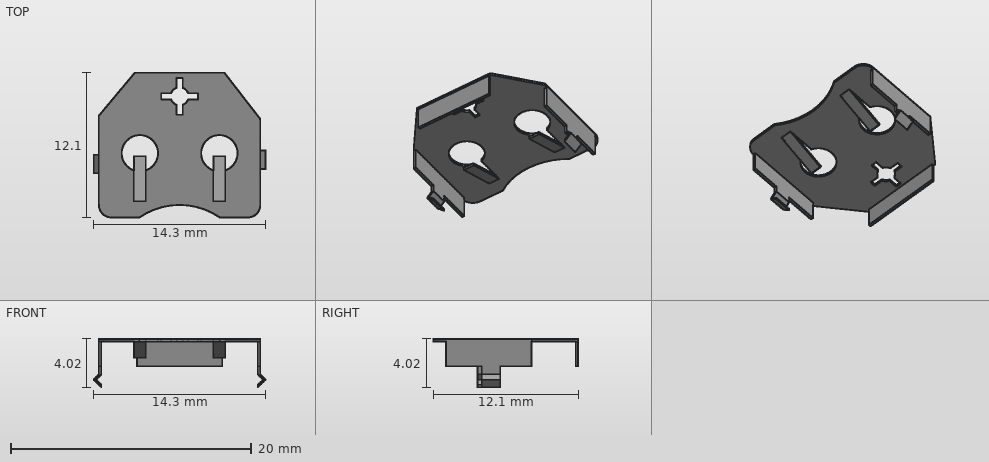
import cadquery as cq
import math

sheet = 0.23
half_width = 6.73
depth = 12.07
rear_half_width = 3.72
left_bevel_end = 3.6
right_bevel_end = 3.88
corner_radius = 1.07
scoop_half_width = 3.35
scoop_height = 1.05

cross_y = -1.98
cross_length = 3.04
cross_slot = 0.5
cross_radius = 0.75

tongue_x = 3.31
tongue_width = 1.0
tongue_root_y = -10.73
tongue_tip_y = -6.95
tongue_drop = 1.58
tongue_thickness = 0.21
hole_y = -6.72
hole_radius = 1.5

wall_bottom = -2.29
side_wall_rear_y = -right_bevel_end
side_wall_front_y = -(depth - corner_radius)
rear_wall_width = 7.13
rear_wall_thickness = 0.21
clip_width = 1.56
left_clip_rear_y = -6.83
right_clip_rear_y = -6.47
clip_bend_z = -2.95
clip_tip_x = 7.16
clip_tip_z = -3.4
clip_end_z = -4.02
clip_arm_width = 0.2


def make_plate():
    """Flat sheet with bevelled rear corners, rounded front corners and a front scoop."""
    plate = (
        cq.Workplane("XY")
        .moveTo(-rear_half_width, 0)
        .lineTo(rear_half_width, 0)
        .lineTo(half_width, -right_bevel_end)
        .lineTo(half_width, -depth)
        .lineTo(scoop_half_width, -depth)
        .threePointArc((0, scoop_height - depth), (-scoop_half_width, -depth))
        .lineTo(-half_width, -depth)
        .lineTo(-half_width, -left_bevel_end)
        .close()
        .extrude(-sheet)
    )
    corner_points = [(side * half_width, -depth, -sheet / 2) for side in (-1, 1)]
    for point in corner_points:
        corner = plate.edges("|Z").edges(cq.NearestToPointSelector(point))
        plate = corner.fillet(corner_radius)
    return plate


def make_cross_cutter():
    """Round hole with four slots reaching out from it."""
    center = cq.Workplane("XY").center(0, cross_y)
    cutter = center.circle(cross_radius).extrude(-sheet)
    cutter = cutter.union(center.rect(cross_length, cross_slot).extrude(-sheet))
    return cutter.union(center.rect(cross_slot, cross_length).extrude(-sheet))


def make_tongue_cutter(x):
    """Round hole joined to the slot that the tongue is bent out of."""
    hole = cq.Workplane("XY").center(x, hole_y).circle(hole_radius).extrude(-sheet)
    slot = (
        cq.Workplane("XY")
        .center(x, (tongue_root_y + hole_y) / 2)
        .rect(tongue_width, hole_y - tongue_root_y)
        .extrude(-sheet)
    )
    return hole.union(slot)


def make_tongue(x):
    """Straight strip sloping down to the rear from the front end of its slot."""
    run = tongue_tip_y - tongue_root_y
    rise = tongue_drop - sheet
    length = math.hypot(run, rise)
    tip_offset_y = tongue_thickness * rise / length
    tip_offset_z = tongue_thickness * run / length
    return (
        cq.Workplane("YZ", origin=(x, 0, 0))
        .moveTo(tongue_root_y, 0)
        .lineTo(tongue_tip_y, tip_offset_z - tongue_drop)
        .lineTo(tongue_tip_y - tip_offset_y, -tongue_drop)
        .lineTo(tongue_root_y, -sheet)
        .close()
        .extrude(tongue_width / 2, both=True)
    )


def make_side(side, clip_rear_y):
    """Side wall with a V-shaped snap clip; side is -1 for left and 1 for right."""
    wall_inner_x = half_width - sheet
    wall = (
        cq.Workplane("XZ", origin=(0, side_wall_rear_y, 0))
        .moveTo(side * half_width, -sheet)
        .lineTo(side * half_width, wall_bottom)
        .lineTo(side * wall_inner_x, wall_bottom)
        .lineTo(side * wall_inner_x, -sheet)
        .close()
        .extrude(side_wall_rear_y - side_wall_front_y)
    )
    clip = (
        cq.Workplane("XZ", origin=(0, clip_rear_y, 0))
        .moveTo(side * half_width, wall_bottom)
        .lineTo(side * half_width, clip_bend_z)
        .lineTo(side * clip_tip_x, clip_tip_z)
        .lineTo(side * wall_inner_x, clip_end_z)
        .lineTo(side * wall_inner_x, clip_end_z + clip_arm_width)
        .lineTo(side * (clip_tip_x - clip_arm_width), clip_tip_z)
        .lineTo(side * wall_inner_x, clip_bend_z)
        .lineTo(side * wall_inner_x, wall_bottom)
        .close()
        .extrude(clip_width)
    )
    return wall.union(clip)


def make_cover():
    """Plate, tongues, side walls and clips bent from one sheet."""
    cover = make_plate().cut(make_cross_cutter())
    for x in (-tongue_x, tongue_x):
        cover = cover.cut(make_tongue_cutter(x)).union(make_tongue(x))
    for side, clip_rear_y in ((-1, left_clip_rear_y), (1, right_clip_rear_y)):
        cover = cover.union(make_side(side, clip_rear_y))
    return cover


def make_rear_wall():
    """Plain wall standing under the rear edge of the plate."""
    return cq.Workplane("XY").box(
        rear_wall_width, rear_wall_thickness, -sheet - wall_bottom, centered=(True, True, False)
    ).translate((0, -rear_wall_thickness / 2, wall_bottom))


cover = make_cover()
rear_wall = make_rear_wall()

result = cq.Compound.makeCompound([cover.val(), rear_wall.val()])